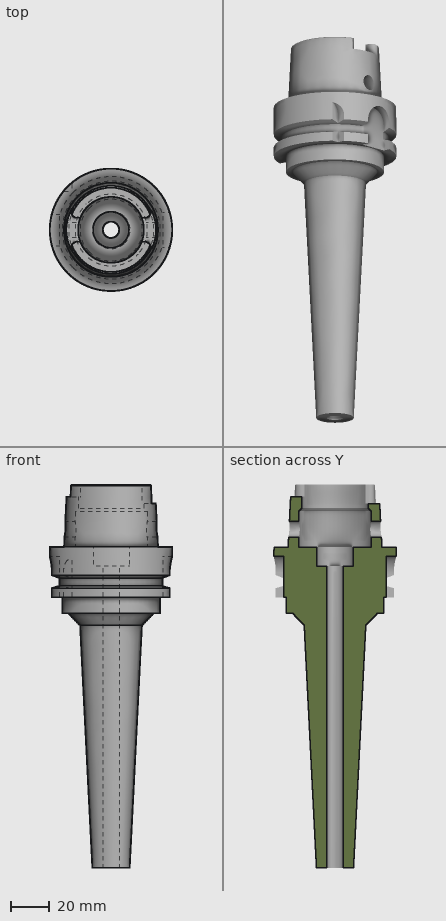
import cadquery as cq
import math

total_length = 197.0

shank_length = 32.0
shank_base_radius = 24.2
shank_taper = 1 / 20
shank_top_radius = shank_base_radius - shank_length * shank_taper
mouth_chamfer_height = 0.5
mouth_chamfer_width = 1.0

flange_radius = 31.5
groove_radius = 27.5
groove_top_depth = 46.5
groove_upper_depth = 48.0
groove_lower_depth = 52.0
groove_bottom_depth = 53.2
flange_bottom_depth = 58.0

hub_radius = 25.2
hub_bottom_depth = 66.2
neck_top_radius = 21.9
neck_bottom_depth = 72.3
stem_top_radius = 16.0
stem_tip_radius = 9.7

mouth_bore_radius = 17.0
chamber_radius = 18.5
chamber_flare_depth = 12.0
chamber_flare_length = 1.5
counterbore_radius = 9.3
counterbore_length = 9.8
through_radius = 4.1

slot_width = 12.2
slot_corner_radius = 3.3
left_slot_depth = 6.1
right_slot_depth = 9.7

cross_hole_diameter = 7.9
cross_hole_depth = 22.9

keyway_top_depth = 36.8
left_keyway_width = 16.2
right_keyway_width = 18.0
keyway_floor = 26.5
index_notch_width = 13.8
index_notch_side = 19.9
index_notch_floor = 20.3


def height(depth):
    """Z of a level given by its depth below the mouth."""
    return total_length - depth


def make_body():
    outline = [
        (0, 0),
        (stem_tip_radius, 0),
        (stem_top_radius, height(neck_bottom_depth)),
        (neck_top_radius, height(hub_bottom_depth)),
        (hub_radius, height(hub_bottom_depth)),
        (hub_radius, height(flange_bottom_depth)),
        (flange_radius, height(flange_bottom_depth)),
        (flange_radius, height(groove_bottom_depth)),
        (groove_radius, height(groove_lower_depth)),
        (groove_radius, height(groove_upper_depth)),
        (flange_radius, height(groove_top_depth)),
        (flange_radius, height(shank_length)),
        (shank_base_radius, height(shank_length)),
        (shank_top_radius, height(mouth_chamfer_height)),
        (shank_top_radius - mouth_chamfer_width, total_length),
        (0, total_length),
    ]
    return cq.Workplane("XZ").polyline(outline).close().revolve(360, (0, 0), (0, 1))


def make_bore():
    counterbore_bottom_depth = shank_length + counterbore_length
    outline = [
        (0, 0),
        (through_radius, 0),
        (through_radius, height(counterbore_bottom_depth)),
        (counterbore_radius, height(counterbore_bottom_depth)),
        (counterbore_radius, height(shank_length)),
        (chamber_radius, height(shank_length)),
        (chamber_radius, height(chamber_flare_depth + chamber_flare_length)),
        (mouth_bore_radius, height(chamber_flare_depth)),
        (mouth_bore_radius, total_length),
        (0, total_length),
    ]
    return cq.Workplane("XZ").polyline(outline).close().revolve(360, (0, 0), (0, 1))


def make_driver_slot(direction, depth):
    """Slot toward +X or -X whose walls round outward into the shank surface."""
    half_width = slot_width / 2
    round_end = half_width + slot_corner_radius
    outer_x = math.sqrt(shank_top_radius**2 - round_end**2)
    round_start = outer_x - slot_corner_radius
    diagonal = slot_corner_radius * math.sqrt(0.5)
    arc_mid = (outer_x - slot_corner_radius + diagonal, round_end - diagonal)
    slot = (
        cq.Workplane("XY", origin=(0, 0, height(depth)))
        .moveTo(0, -half_width)
        .lineTo(round_start, -half_width)
        .threePointArc((arc_mid[0], -arc_mid[1]), (outer_x, -round_end))
        .lineTo(flange_radius, -round_end)
        .lineTo(flange_radius, round_end)
        .lineTo(outer_x, round_end)
        .threePointArc(arc_mid, (round_start, half_width))
        .lineTo(0, half_width)
        .close()
        .extrude(depth)
    )
    return slot if direction > 0 else slot.mirror("YZ")


def make_keyway(center_y, width, floor):
    """Round-topped cutter on the +X side, open below the flange."""
    radius = width / 2
    arc_z = height(keyway_top_depth) - radius
    bottom_z = height(flange_bottom_depth)
    return (
        cq.Workplane("YZ", origin=(floor, 0, 0))
        .moveTo(center_y - radius, bottom_z)
        .lineTo(center_y - radius, arc_z)
        .threePointArc((center_y, arc_z + radius), (center_y + radius, arc_z))
        .lineTo(center_y + radius, bottom_z)
        .close()
        .extrude(flange_radius)
    )


cross_hole = (
    cq.Workplane("YZ")
    .center(0, height(cross_hole_depth))
    .circle(cross_hole_diameter / 2)
    .extrude(flange_radius, both=True)
)
left_keyway = make_keyway(0, left_keyway_width, keyway_floor).mirror("YZ")
right_keyway = make_keyway(0, right_keyway_width, keyway_floor)
index_notch_center = index_notch_side + index_notch_width / 2
index_notch = make_keyway(index_notch_center, index_notch_width, index_notch_floor).mirror("YZ")

result = (
    make_body()
    .cut(make_bore())
    .cut(make_driver_slot(-1, left_slot_depth))
    .cut(make_driver_slot(1, right_slot_depth))
    .cut(cross_hole)
    .cut(left_keyway)
    .cut(right_keyway)
    .cut(index_notch)
)